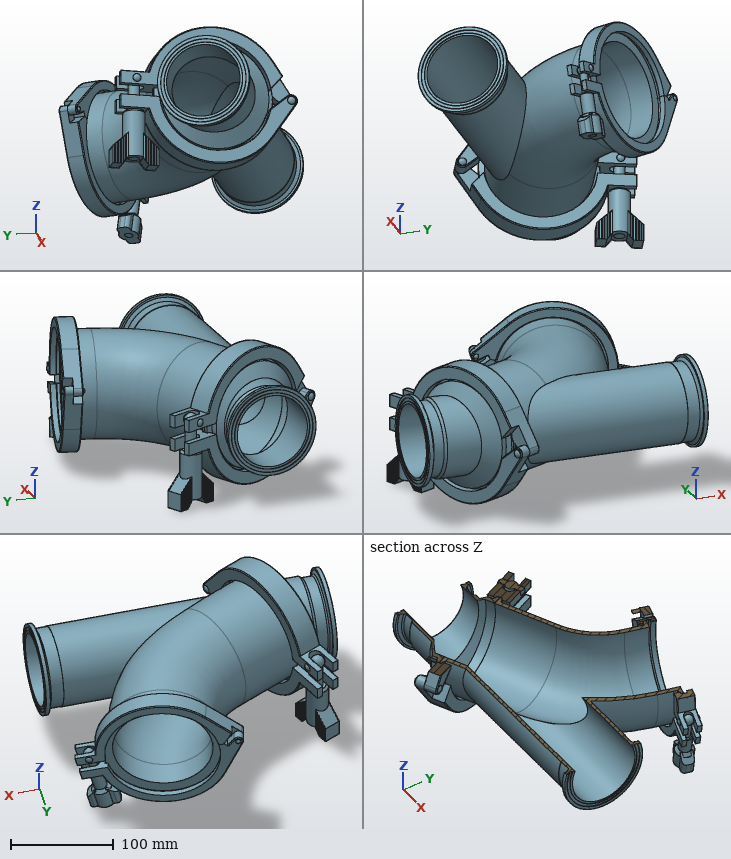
import cadquery as cq
import math

OVERALL_LENGTH = 293.62
INLET_OFFSET_Y = -5.2
BRANCH_ANGLE = 25.0
OUTLET_ANGLE = 75.0
CLAMP_CENTRE = (60.7, -2.1)
BRANCH_STRAIGHT = 69.8
ELBOW_RADIUS = 127.0
OUTLET_STRAIGHT = 25.4
OUTLET_CLAMP_ROLL = 14.2

RUN_DIAMETER = 80.3
RUN_BORE = 72.9
RUN_START_X = 90.0
BRANCH_DIAMETER = 107.95
BRANCH_BORE = 97.6

RUN_FLANGE_DIAMETER = 91.0
RUN_FLANGE_THICKNESS = 4.2
RUN_FLANGE_BEVEL_DIAMETER = 86.6
GASKET_GROOVE_INNER = 78.0
GASKET_GROOVE_OUTER = 84.6
GASKET_GROOVE_DEPTH = 1.0

OUTLET_NECK_DIAMETER = 79.4
OUTLET_NECK_LENGTH = 19.0
OUTLET_BEVEL_LENGTH = 2.3

INLET_NECK_DIAMETER = 76.2
INLET_BEVEL_BREAK = (5.8, 39.6)
INLET_BEVEL_END = 7.5
INLET_NECK_END = 18.0
INLET_TAPER_END = 20.8
INLET_TUBE_END = 41.1
INLET_CUT_ANGLE = 20.9
REDUCER_NECK = 10.5

FERRULE_DIAMETER = 118.9
FERRULE_RIM = 2.85
FERRULE_BEVEL_ANGLE = 20.0
CLAMP_BORE = 112.72


def direction(angle):
    """Unit vector in the XY plane at an angle from +X."""
    return cq.Vector(math.cos(math.radians(angle)), math.sin(math.radians(angle)))


def bevel_length(diameter):
    """Axial length of the ferrule bevel from its rim down to a diameter."""
    return (FERRULE_DIAMETER - diameter) / 2 * math.tan(math.radians(FERRULE_BEVEL_ANGLE))


FERRULE_LENGTH = FERRULE_RIM + bevel_length(BRANCH_DIAMETER)

branch_axis = direction(BRANCH_ANGLE)
outlet_axis = direction(OUTLET_ANGLE)
branch_start = cq.Vector(*CLAMP_CENTRE)
elbow_start = branch_start + branch_axis * BRANCH_STRAIGHT
elbow_centre = elbow_start + direction(BRANCH_ANGLE + 90) * ELBOW_RADIUS
elbow_middle = elbow_centre + direction((BRANCH_ANGLE + OUTLET_ANGLE) / 2 - 90) * ELBOW_RADIUS
elbow_end = elbow_centre + direction(OUTLET_ANGLE - 90) * ELBOW_RADIUS
outlet_end = elbow_end + outlet_axis * OUTLET_STRAIGHT


def revolved_about_x(profile, y):
    """Solid of revolution from (x, radius) points about the line parallel to X at y."""
    return (
        cq.Workplane("XY", origin=(0, y, 0))
        .polyline(profile)
        .close()
        .revolve(360, (0, 0, 0), (1, 0, 0))
    )


def cylinder_along(start, axis, diameter, length):
    return cq.Workplane(cq.Plane(origin=start, normal=axis)).circle(diameter / 2).extrude(length)


def branch_ferrule(start, axis):
    """Clamp ferrule with its sealing face at start and its neck pointing along axis."""
    rim = cylinder_along(start, axis, FERRULE_DIAMETER, FERRULE_RIM)
    bevel = cq.Solid.makeCone(
        FERRULE_DIAMETER / 2,
        BRANCH_DIAMETER / 2,
        FERRULE_LENGTH - FERRULE_RIM,
        pnt=start + axis * FERRULE_RIM,
        dir=axis,
    )
    return rim.union(cq.Workplane(bevel))


def gasket_groove(face_x, y, inward):
    """Ring groove cut into a run flange face, inward being +1 or -1 along X."""
    return (
        cq.Workplane("YZ", origin=(face_x, y, 0))
        .circle(GASKET_GROOVE_OUTER / 2)
        .circle(GASKET_GROOVE_INNER / 2)
        .extrude(inward * GASKET_GROOVE_DEPTH)
    )


def branch_pipe(diameter):
    """Straight branch, elbow and straight outlet swept as one round bar."""
    path = (
        cq.Workplane("XY")
        .moveTo(branch_start.x, branch_start.y)
        .lineTo(elbow_start.x, elbow_start.y)
        .threePointArc((elbow_middle.x, elbow_middle.y), (elbow_end.x, elbow_end.y))
        .lineTo(outlet_end.x, outlet_end.y)
    )
    section = cq.Workplane(cq.Plane(origin=branch_start, normal=branch_axis)).circle(diameter / 2)
    return section.sweep(path)


def wye_body():
    flange_x = OVERALL_LENGTH - RUN_FLANGE_THICKNESS
    neck_x = OVERALL_LENGTH - OUTLET_NECK_LENGTH
    run = revolved_about_x(
        [
            (RUN_START_X, 0),
            (RUN_START_X, RUN_DIAMETER / 2),
            (neck_x, RUN_DIAMETER / 2),
            (neck_x, OUTLET_NECK_DIAMETER / 2),
            (flange_x - OUTLET_BEVEL_LENGTH, OUTLET_NECK_DIAMETER / 2),
            (flange_x, RUN_FLANGE_BEVEL_DIAMETER / 2),
            (flange_x, RUN_FLANGE_DIAMETER / 2),
            (OVERALL_LENGTH, RUN_FLANGE_DIAMETER / 2),
            (OVERALL_LENGTH, 0),
        ],
        0,
    )
    run_start = cq.Vector(RUN_START_X, 0, 0)
    run_bore = cylinder_along(run_start, cq.Vector(1, 0, 0), RUN_BORE, OVERALL_LENGTH - RUN_START_X)
    return (
        branch_pipe(BRANCH_DIAMETER)
        .union(branch_ferrule(branch_start, branch_axis))
        .union(branch_ferrule(outlet_end, -outlet_axis))
        .union(run)
        .cut(branch_pipe(BRANCH_BORE))
        .cut(run_bore)
        .cut(gasket_groove(OVERALL_LENGTH, 0, -1))
    )


inlet_cut_plane = cq.Plane(
    origin=(INLET_TUBE_END, INLET_OFFSET_Y, 0),
    xDir=direction(INLET_CUT_ANGLE + 90),
    normal=direction(INLET_CUT_ANGLE),
)
reducer_end_plane = cq.Plane(
    origin=branch_start - branch_axis * REDUCER_NECK,
    xDir=direction(BRANCH_ANGLE + 90),
    normal=branch_axis,
)


def oblique_reducer(small_diameter, large_diameter):
    """Ruled transition from the slanted end of the inlet tube to the ferrule neck."""
    slant = math.cos(math.radians(INLET_CUT_ANGLE))
    small = cq.Workplane(inlet_cut_plane).ellipse(small_diameter / 2 / slant, small_diameter / 2)
    large = cq.Workplane(reducer_end_plane).circle(large_diameter / 2)
    wires = [small.wires().val(), large.wires().val()]
    return cq.Workplane(cq.Solid.makeLoft(wires, True))


def slanted_end(tube):
    """The tube with everything beyond the slanted cut removed."""
    beyond = cq.Workplane(inlet_cut_plane).rect(2 * FERRULE_DIAMETER, 2 * FERRULE_DIAMETER)
    return tube.cut(beyond.extrude(FERRULE_DIAMETER))


def inlet_reducer():
    tube_end = INLET_TUBE_END + RUN_DIAMETER
    tube = revolved_about_x(
        [
            (0, 0),
            (0, RUN_FLANGE_DIAMETER / 2),
            (RUN_FLANGE_THICKNESS, RUN_FLANGE_DIAMETER / 2),
            (RUN_FLANGE_THICKNESS, RUN_FLANGE_BEVEL_DIAMETER / 2),
            INLET_BEVEL_BREAK,
            (INLET_BEVEL_END, INLET_NECK_DIAMETER / 2),
            (INLET_NECK_END, INLET_NECK_DIAMETER / 2),
            (INLET_TAPER_END, RUN_DIAMETER / 2),
            (tube_end, RUN_DIAMETER / 2),
            (tube_end, 0),
        ],
        INLET_OFFSET_Y,
    )
    bore = cylinder_along(cq.Vector(0, INLET_OFFSET_Y, 0), cq.Vector(1, 0, 0), RUN_BORE, tube_end)
    neck = cylinder_along(branch_start, -branch_axis, BRANCH_DIAMETER, REDUCER_NECK)
    neck_bore = cylinder_along(branch_start, -branch_axis, BRANCH_BORE, REDUCER_NECK)
    return (
        slanted_end(tube)
        .union(oblique_reducer(RUN_DIAMETER, BRANCH_DIAMETER))
        .union(neck)
        .union(branch_ferrule(branch_start, -branch_axis))
        .cut(slanted_end(bore))
        .cut(oblique_reducer(RUN_BORE, BRANCH_BORE))
        .cut(neck_bore)
        .cut(gasket_groove(0, INLET_OFFSET_Y, 1))
    )


JAW_CHAMFER = 1.0
HINGE_EDGE_ANGLE = 40.0
STUB_CUT_ANGLE = 49.0

INLET_CLAMP = {
    "outer_diameter": 139.0,
    "thickness": 25.4,
    "hinge_tangent_angle": 33.6,
    "hinge_split": -1.5,
    "lug_gap": 11.4,
    "lug_height": 12.6,
    "lug_tip": 94.4,
    "slot_width": 12.9,
    "slot_start": 69.0,
    "knuckle_diameter": 12.17,
    "stub_height": 24.4,
    "hinge_pin_diameter": 8.21,
    "swing_pin_diameter": 7.94,
    "pin_dome": 2.2,
    "bolt_x": 78.6,
    "bolt_pivot_y": 12.0,
    "ball_diameter": 14.0,
    "shank_diameter": 11.1,
}
OUTLET_CLAMP = {
    "outer_diameter": 132.1,
    "thickness": 19.0,
    "hinge_tangent_angle": 36.5,
    "hinge_split": 0.0,
    "lug_gap": 9.0,
    "lug_height": 10.0,
    "lug_tip": 84.4,
    "slot_width": 9.2,
    "slot_start": 65.0,
    "knuckle_diameter": 10.04,
    "stub_height": 12.8,
    "hinge_pin_diameter": 5.16,
    "swing_pin_diameter": 7.11,
    "pin_dome": 2.0,
    "bolt_x": 71.4,
    "bolt_pivot_y": 9.5,
    "ball_diameter": 11.0,
    "shank_diameter": 7.94,
}
INLET_NUT = {
    "barrel_diameter": 22.0,
    "barrel_end": -67.0,
    "barrel_chamfer": 2.5,
    "wing_thickness": 17.5,
    "wing_span": 45.8,
    "wing_root": 7.5,
    "wing_top": -43.0,
    "wing_shoulder": -57.5,
    "wing_end": -75.0,
    "foot_chamfer": 5.5,
    "foot_start": -68.0,
    "tip_round": 0.0,
    "hub_diameter": 0.0,
    "grip_grooves": 5,
}
OUTLET_NUT = {
    "barrel_diameter": 13.2,
    "barrel_end": -57.2,
    "barrel_chamfer": 1.0,
    "wing_thickness": 13.2,
    "wing_span": 31.0,
    "wing_root": 5.0,
    "wing_top": -35.5,
    "wing_shoulder": -44.0,
    "wing_end": -57.2,
    "foot_chamfer": 1.0,
    "foot_start": -56.2,
    "tip_round": 4.0,
    "hub_diameter": 20.0,
    "grip_grooves": 0,
}
GRIP_GROOVE_MARGIN = 2.2
GRIP_GROOVE_PITCH = 2.7
GRIP_GROOVE_WIDTH = 1.0
GRIP_GROOVE_DEPTH = 0.5


def domed_pin(x, y, diameter, length, dome):
    """Pin along Z, centred on Z = 0, with a domed end standing out beyond each end of length."""
    radius = diameter / 2
    dome_radius = (radius**2 + dome**2) / (2 * dome)
    half_angle = math.asin(radius / dome_radius) / 2
    shoulder_x = dome_radius * math.sin(half_angle)
    shoulder_y = length / 2 + dome - dome_radius * (1 - math.cos(half_angle))
    return (
        cq.Workplane("XZ")
        .moveTo(0, length / 2 + dome)
        .threePointArc((shoulder_x, shoulder_y), (radius, length / 2))
        .lineTo(radius, -length / 2)
        .threePointArc((shoulder_x, -shoulder_y), (0, -length / 2 - dome))
        .close()
        .revolve(360, (0, 0, 0), (0, 1, 0))
        .translate((x, y, 0))
    )


def hinge_x(clamp):
    """Place of the hinge, where the knuckle touches the tangent edges of both jaws."""
    reach = (clamp["outer_diameter"] - clamp["knuckle_diameter"]) / 2
    return -reach / math.cos(math.radians(clamp["hinge_tangent_angle"]))


def jaw(clamp, arm_start):
    """Half ring with a slotted lug, and a hinge arm that fills the thickness above arm_start."""
    radius = clamp["outer_diameter"] / 2
    thickness = clamp["thickness"]
    knuckle = clamp["knuckle_diameter"] / 2
    gap = clamp["lug_gap"] / 2
    lug_top = gap + clamp["lug_height"]
    tangent = math.radians(clamp["hinge_tangent_angle"])
    edge = math.radians(HINGE_EDGE_ANGLE)
    cut_slope = math.tan(math.radians(STUB_CUT_ANGLE))

    ring_end = (-radius * math.cos(tangent), radius * math.sin(tangent))
    stub_y = clamp["stub_height"]
    stub_x = -(radius - stub_y * math.sin(tangent)) / math.cos(tangent)
    stub = (stub_x, stub_y)
    stub_foot = (stub_x + stub_y / cut_slope, 0)

    half_ring = (
        cq.Workplane("XY")
        .moveTo(clamp["lug_tip"], gap)
        .lineTo(clamp["lug_tip"], lug_top)
        .lineTo(math.sqrt(radius**2 - lug_top**2), lug_top)
        .threePointArc((0, radius), ring_end)
        .lineTo(*stub)
        .lineTo(*stub_foot)
        .lineTo(0, 0)
        .lineTo(0, gap)
        .close()
        .extrude(thickness / 2, both=True)
    )

    pivot_x = hinge_x(clamp)
    upper_touch = (pivot_x - knuckle * math.cos(tangent), knuckle * math.sin(tangent))
    lower_touch = (pivot_x + knuckle * math.sin(edge), -knuckle * math.cos(edge))
    edge_foot = (lower_touch[0] + knuckle * math.cos(edge) / math.tan(edge), 0)
    inner_x = -FERRULE_DIAMETER / 2 + knuckle
    inner_y = (inner_x - edge_foot[0]) * math.tan(edge)
    arm = (
        cq.Workplane("XY", origin=(0, 0, arm_start))
        .moveTo(*ring_end)
        .lineTo(*upper_touch)
        .threePointArc((pivot_x - knuckle * math.sin(edge), -knuckle * math.cos(edge)), lower_touch)
        .lineTo(inner_x, inner_y)
        .close()
        .extrude(thickness / 2 - arm_start)
    )

    slot_centre = clamp["slot_start"] + clamp["slot_width"] / 2
    slot_length = clamp["lug_tip"] - slot_centre
    slot_end = cq.Workplane("XZ").circle(clamp["slot_width"] / 2).extrude(-lug_top)
    slot_sides = cq.Workplane("XY").box(
        slot_length, lug_top, clamp["slot_width"], centered=(False, False, True)
    )
    slot = slot_end.union(slot_sides).translate((slot_centre, 0, 0))

    blank = half_ring.union(arm)
    for side in (-1, 1):
        rim_point = (0, radius, side * thickness / 2)
        blank = blank.edges(cq.selectors.NearestToPointSelector(rim_point)).chamfer(JAW_CHAMFER)
    return blank.cut(slot).cut(jaw_bore(clamp))


def jaw_bore(clamp):
    """Clamp bore with the tapered groove that draws the ferrules together."""
    half = clamp["thickness"] / 2
    mouth = FERRULE_RIM + bevel_length(CLAMP_BORE)
    return (
        cq.Workplane("XZ")
        .polyline(
            [
                (0, -half),
                (CLAMP_BORE / 2, -half),
                (CLAMP_BORE / 2, -mouth),
                (FERRULE_DIAMETER / 2, -FERRULE_RIM),
                (FERRULE_DIAMETER / 2, FERRULE_RIM),
                (CLAMP_BORE / 2, mouth),
                (CLAMP_BORE / 2, half),
                (0, half),
            ]
        )
        .close()
        .revolve(360, (0, 0, 0), (0, 1, 0))
    )


def hinge_pin(clamp):
    return domed_pin(
        hinge_x(clamp),
        0,
        clamp["hinge_pin_diameter"],
        clamp["thickness"],
        clamp["pin_dome"],
    )


def swing_pin(clamp):
    return domed_pin(
        clamp["bolt_x"],
        clamp["bolt_pivot_y"],
        clamp["swing_pin_diameter"],
        clamp["thickness"],
        clamp["pin_dome"],
    )


def upper_jaw(clamp):
    """Jaw with its hinge arm on the +Z side and holes for both pins."""
    return jaw(clamp, clamp["hinge_split"]).cut(hinge_pin(clamp)).cut(swing_pin(clamp))


def lower_jaw(clamp):
    """Jaw turned over about the lug-to-hinge line, carrying the hinge pin."""
    turned = jaw(clamp, -clamp["hinge_split"]).rotate((0, 0, 0), (1, 0, 0), 180)
    return turned.union(hinge_pin(clamp))


def swing_bolt(clamp, nut):
    """Ball-headed bolt with its cross pin, ending flush with the nut barrel."""
    pivot_y = clamp["bolt_pivot_y"]
    ball = cq.Workplane("XY").sphere(clamp["ball_diameter"] / 2)
    between_prongs = cq.Workplane("XY").box(
        clamp["ball_diameter"], clamp["ball_diameter"], clamp["slot_width"]
    )
    shank = (
        cq.Workplane("XZ")
        .circle(clamp["shank_diameter"] / 2)
        .extrude(pivot_y - nut["barrel_end"])
    )
    head = ball.intersect(between_prongs).union(shank).translate((clamp["bolt_x"], pivot_y, 0))
    return head.union(swing_pin(clamp))


def nut_wing(nut):
    """One wing on the +X side, with its tip edges rounded or its faces grooved for grip."""
    half_span = nut["wing_span"] / 2
    half_thickness = nut["wing_thickness"] / 2
    foot_x = nut["wing_root"] + nut["foot_chamfer"]
    wing = (
        cq.Workplane("XY")
        .polyline(
            [
                (nut["wing_root"], nut["wing_top"]),
                (half_span, nut["wing_shoulder"]),
                (half_span, nut["wing_end"]),
                (foot_x, nut["wing_end"]),
                (nut["wing_root"], nut["foot_start"]),
            ]
        )
        .close()
        .extrude(half_thickness, both=True)
    )
    if nut["tip_round"]:
        wing = wing.faces(">X").edges("|Y").fillet(nut["tip_round"])
    groove = cq.Workplane("XY").box(GRIP_GROOVE_WIDTH, -2 * nut["wing_end"], 2 * GRIP_GROOVE_DEPTH)
    for number in range(nut["grip_grooves"]):
        groove_x = half_span - GRIP_GROOVE_MARGIN - number * GRIP_GROOVE_PITCH
        for face_z in (-half_thickness, half_thickness):
            wing = wing.cut(groove.translate((groove_x, nut["wing_end"], face_z)))
    return wing


def chamfered_barrel(diameter, top, end, chamfer):
    """Cylinder along Y from top down to end, chamfered at the top."""
    barrel = cq.Workplane("XZ", origin=(0, top, 0)).circle(diameter / 2).extrude(top - end)
    return barrel.faces(">Y").chamfer(chamfer)


def wing_nut(clamp, nut):
    """Barrel under the lower lug, with two wings and, on some nuts, a wider hub between them."""
    barrel_top = -clamp["lug_gap"] / 2 - clamp["lug_height"]
    wing = nut_wing(nut)
    thread = cq.Workplane("XZ").circle(clamp["shank_diameter"] / 2).extrude(-nut["wing_end"])
    barrel = chamfered_barrel(
        nut["barrel_diameter"], barrel_top, nut["barrel_end"], nut["barrel_chamfer"]
    )
    if nut["hub_diameter"]:
        hub_step = (nut["hub_diameter"] - nut["barrel_diameter"]) / 2
        barrel = barrel.union(
            chamfered_barrel(nut["hub_diameter"], nut["wing_top"], nut["barrel_end"], hub_step)
        )
    return (
        barrel.union(wing)
        .union(wing.mirror("YZ"))
        .cut(thread)
        .translate((clamp["bolt_x"], 0, 0))
    )


def clamp_bodies(clamp, nut, centre, axis_angle, roll):
    """The four clamp bodies, placed on the pipe axis with the lugs rolled downward."""
    lug = direction(axis_angle + 90)
    tilt = math.radians(roll)
    plane = cq.Plane(
        origin=centre,
        xDir=lug * math.cos(tilt) - cq.Vector(0, 0, math.sin(tilt)),
        normal=direction(axis_angle),
    )
    parts = [upper_jaw(clamp), lower_jaw(clamp), swing_bolt(clamp, nut), wing_nut(clamp, nut)]
    return [part.val().moved(cq.Location(plane)) for part in parts]


body = wye_body()
reducer = inlet_reducer()
inlet_clamp = clamp_bodies(INLET_CLAMP, INLET_NUT, branch_start, BRANCH_ANGLE, 0)
outlet_clamp = clamp_bodies(
    OUTLET_CLAMP, OUTLET_NUT, outlet_end, OUTLET_ANGLE + 180, OUTLET_CLAMP_ROLL
)

result = cq.Compound.makeCompound([body.val(), reducer.val(), *inlet_clamp, *outlet_clamp])